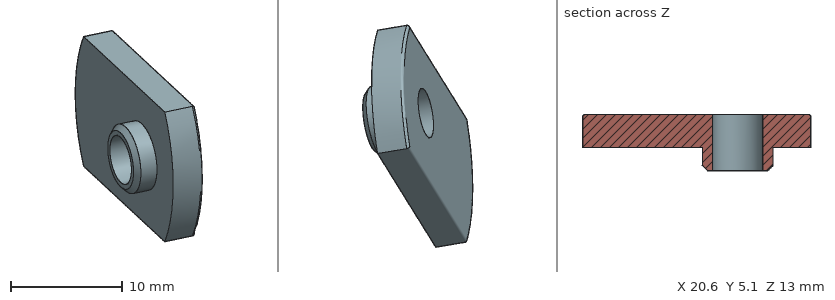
import cadquery as cq

plate_length = 20.55
plate_height = 13.0
plate_thickness = 3.0
flat_length = 17.02
back_edge_radius = 0.25

boss_x = 3.68
boss_diameter = 6.4
boss_length = 2.1
boss_chamfer = 0.5
bore_diameter = 4.5


def make_plate():
    """Plate with its front face on Y = 0 and its back edges rounded."""
    half_length = plate_length / 2
    half_height = plate_height / 2
    half_flat = flat_length / 2
    plate = (
        cq.Workplane("XZ")
        .moveTo(-half_flat, half_height)
        .lineTo(half_flat, half_height)
        .threePointArc((half_length, 0), (half_flat, -half_height))
        .lineTo(-half_flat, -half_height)
        .threePointArc((-half_length, 0), (-half_flat, half_height))
        .close()
        .extrude(-plate_thickness)
    )
    return plate.faces(">Y").edges().fillet(back_edge_radius)


def make_boss():
    """Round boss standing out toward -Y, chamfered at its free end."""
    boss = cq.Workplane("XZ").center(boss_x, 0).circle(boss_diameter / 2).extrude(boss_length)
    return boss.faces("<Y").edges().chamfer(boss_chamfer)


def make_bore():
    """Cylinder running through both the boss and the plate."""
    return (
        cq.Workplane("XZ", origin=(boss_x, plate_thickness, 0))
        .circle(bore_diameter / 2)
        .extrude(plate_thickness + boss_length)
    )


result = make_plate().union(make_boss()).cut(make_bore())